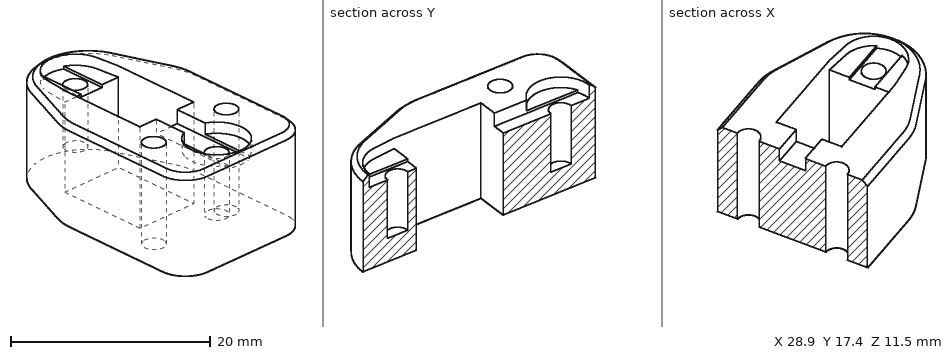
import cadquery as cq
import math

length = 28.92
width = 17.35
height = 11.5
half_length = length / 2
half_width = width / 2
corner_radius = 3.18
shoulder_x = -3.15
shoulder_radius = 6.15
pick_margin = 0.3
nose_end_x = -10.15
nose_end_y = 5.9
top_chamfer = 0.6

window_min_x = -7.8
window_max_x = 2.98
window_width = 7.55

hole_diameter = 2.5
screw_x = 10.15
through_hole_x = 6.33
through_hole_y = 5.1
recess_radius = 3.5
recess_depth = 1.27
channel_width = 2.95
channel_depth = 1.6
blind_hole_bottom = 2.9


def make_body():
    outline = (
        cq.Workplane("XY")
        .moveTo(nose_end_x, -nose_end_y)
        .lineTo(shoulder_x, -half_width)
        .lineTo(half_length, -half_width)
        .lineTo(half_length, half_width)
        .lineTo(shoulder_x, half_width)
        .lineTo(nose_end_x, nose_end_y)
        .threePointArc((-half_length, 0), (nose_end_x, -nose_end_y))
        .close()
    )
    body = outline.extrude(height)
    body = body.edges("|Z and >X").fillet(corner_radius)
    shoulder_box = cq.selectors.BoxSelector(
        (shoulder_x - pick_margin, -width, -pick_margin),
        (shoulder_x + pick_margin, width, height + pick_margin),
    )
    body = body.edges("|Z").edges(shoulder_box).fillet(shoulder_radius)
    return body.faces(">Z").chamfer(top_chamfer)


def cut_down(points, diameter, bottom):
    """Round cutter from the top face down to the given height."""
    return (
        cq.Workplane("XY", origin=(0, 0, bottom))
        .pushPoints(points)
        .circle(diameter / 2)
        .extrude(height - bottom)
    )


def make_nose_recess():
    """Round recess whose sides run tangentially to the corners of the window."""
    reach = window_min_x + screw_x
    half_window = window_width / 2
    corner_distance = math.hypot(reach, half_window)
    tangent_angle = math.atan2(half_window, reach) + math.acos(recess_radius / corner_distance)
    tangent_x = -screw_x + recess_radius * math.cos(tangent_angle)
    tangent_y = recess_radius * math.sin(tangent_angle)
    return (
        cq.Workplane("XY", origin=(0, 0, height - recess_depth))
        .moveTo(window_min_x, -half_window)
        .lineTo(window_min_x, half_window)
        .lineTo(tangent_x, tangent_y)
        .threePointArc((-screw_x - recess_radius, 0), (tangent_x, -tangent_y))
        .close()
        .extrude(recess_depth)
    )


def make_channel():
    """Straight channel along X, with ends that follow the round recesses."""
    bottom = height - channel_depth
    straight = (
        cq.Workplane("XY", origin=(0, 0, bottom))
        .rect(2 * screw_x, channel_width)
        .extrude(channel_depth)
    )
    strip = (
        cq.Workplane("XY", origin=(0, 0, bottom))
        .rect(length, channel_width)
        .extrude(channel_depth)
    )
    ends = cut_down([(-screw_x, 0), (screw_x, 0)], 2 * recess_radius, bottom).intersect(strip)
    return straight.union(ends)


def make_window():
    return (
        cq.Workplane("XY")
        .center((window_min_x + window_max_x) / 2, 0)
        .rect(window_max_x - window_min_x, window_width)
        .extrude(height)
    )


through_points = [(through_hole_x, -through_hole_y), (through_hole_x, through_hole_y)]
blind_points = [(-screw_x, 0), (screw_x, 0)]

result = (
    make_body()
    .cut(make_window())
    .cut(make_nose_recess())
    .cut(cut_down([(screw_x, 0)], 2 * recess_radius, height - recess_depth))
    .cut(make_channel())
    .cut(cut_down(through_points, hole_diameter, 0))
    .cut(cut_down(blind_points, hole_diameter, blind_hole_bottom))
)